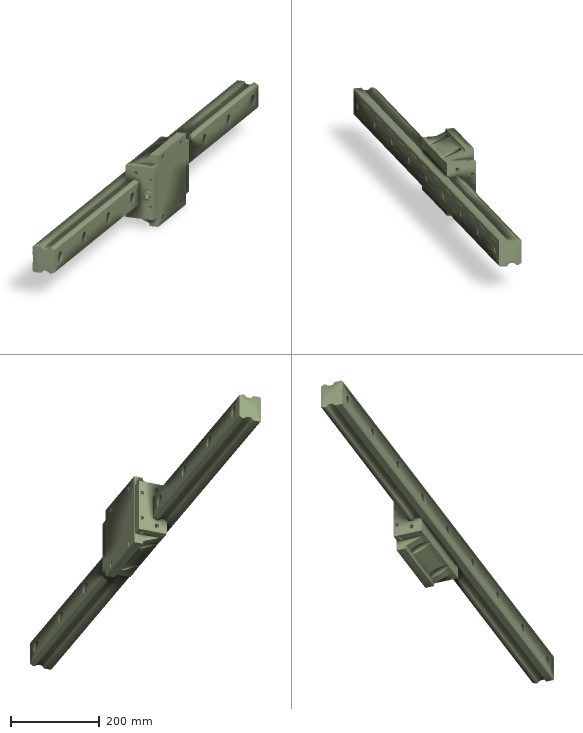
import cadquery as cq

rail_length = 1270.0
rail_width = 63.0
rail_height = 53.0
foot_height = 19.0
foot_chamfer = 2.0
neck_width = 50.0
neck_start = 24.0
neck_end = 34.0
head_width = 61.0
head_low = 41.0
head_high = 46.0
crown_width = 53.5
groove_diameter = 10.0
groove_centres = [(34.8, 31.2), (51.5, 32.4)]
relief_width = 19.0
relief_depth = 0.5
mark_z = 21.0
mark_width = 1.0
mark_depth = 0.5
hole_pitch = 150.0
hole_count = 9
rail_bore = 18.0
rail_counterbore = 26.0
rail_counterbore_depth = 22.0

carriage_y = 3.0
carriage_front = 20.0
rail_gap = 0.6
block_back = 90.0
block_length = 173.0
body_width = 122.0
slope_start = 31.0
slope_start_width = 125.5
flange_front = 69.0
flange_root_width = 157.0
flange_width = 170.0
flange_fillet = 6.0
bolt_pitch_y = 110.0
bolt_pitch_z = 142.0
bolt_bore = 13.84
spotface_diameter = 22.0
spotface_floor = 67.0
cap_width = 124.0
cap_back = 88.0
cap_length = 19.0
seal_length = 4.5
screw_x = 44.5
screw_z = 45.5
screw_bore = 5.5
screw_counterbore = 10.4
pin_x = 80.0
pin_z = 32.5
pin_bore = 4.2
pin_counterbore = 8.7
end_counterbore_depth = seal_length
lube_x = 75.0
port_bore = 4.2
port_bore_depth = 10.0
port_counterbore = 9.5
port_counterbore_depth = 4.0

nipple_base = 14.0
nipple_base_length = 7.0
nipple_root = 9.83
nipple_root_length = 8.0
nipple_stem = 5.5
nipple_stem_length = 14.0
nipple_direction = cq.Vector(0, -1, -1)

cap_inner = block_length / 2
cap_outer = cap_inner + cap_length
seal_outer = cap_outer + seal_length


def mirrored_prism(half_outline, y_start, y_end):
    """Prism along Y whose section is the given (x, z) points and their mirror image in Z."""
    mirror_half = [(x, -z) for x, z in reversed(half_outline)]
    outline = cq.Workplane("XZ", origin=(0, y_start, 0)).polyline(half_outline + mirror_half).close()
    return outline.extrude(y_start - y_end)


def x_cylinder(diameter, x_start, x_end, y, z):
    return cq.Workplane("YZ", origin=(x_start, y, z)).circle(diameter / 2).extrude(x_end - x_start)


def y_cylinder(diameter, x, z, y_start, y_end):
    return cq.Workplane("XZ", origin=(x, y_start, z)).circle(diameter / 2).extrude(y_start - y_end)


def z_cylinder(diameter, x, y, z_start, z_end):
    return cq.Workplane("XY", origin=(x, y, z_start)).circle(diameter / 2).extrude(z_end - z_start)


def head_points(gap):
    """Foot shoulder, neck and head of the rail section, grown by a clearance."""
    return [
        (foot_height + gap, rail_width / 2 + gap),
        (neck_start + gap, neck_width / 2 + gap),
        (neck_end - gap, neck_width / 2 + gap),
        (head_low - gap, head_width / 2 + gap),
        (head_high + gap, head_width / 2 + gap),
        (rail_height + gap, crown_width / 2 + gap),
    ]


def make_rail():
    y_end = rail_length / 2
    foot = [(0, rail_width / 2 - foot_chamfer), (foot_chamfer, rail_width / 2)]
    rail = mirrored_prism(foot + head_points(0), -y_end, y_end)
    for x, z in groove_centres:
        for side in (-1, 1):
            rail = rail.cut(y_cylinder(groove_diameter, x, side * z, -y_end, y_end))
    rail = rail.cut(cq.Workplane("XY").box(2 * relief_depth, rail_length, relief_width))
    mark = cq.Workplane("XY", origin=(0, 0, mark_z)).box(2 * mark_depth, rail_length, mark_width)
    rail = rail.cut(mark)
    for i in range(hole_count):
        y = (i - (hole_count - 1) / 2) * hole_pitch
        floor = rail_height - rail_counterbore_depth
        rail = rail.cut(x_cylinder(rail_bore, 0, rail_height, y, 0))
        rail = rail.cut(x_cylinder(rail_counterbore, floor, rail_height, y, 0))
    return rail


def make_tunnel():
    """Clearance around the rail that runs through the whole carriage."""
    mouth = [(0, rail_width / 2 + rail_gap)]
    return mirrored_prism(mouth + head_points(rail_gap), -rail_length / 2, rail_length / 2)


def make_block(tunnel):
    outline = [
        (carriage_front, body_width / 2),
        (slope_start, slope_start_width / 2),
        (flange_front, flange_root_width / 2),
        (flange_front, flange_width / 2),
        (block_back, flange_width / 2),
    ]
    block = mirrored_prism(outline, carriage_y - cap_inner, carriage_y + cap_inner).cut(tunnel)
    for side in (-1, 1):
        root = (flange_front, carriage_y, side * flange_root_width / 2)
        block = block.edges(cq.selectors.NearestToPointSelector(root)).fillet(flange_fillet)
    for end in (-1, 1):
        for side in (-1, 1):
            y = carriage_y + end * bolt_pitch_y / 2
            z = side * bolt_pitch_z / 2
            block = block.cut(x_cylinder(spotface_diameter, carriage_front, spotface_floor, y, z))
            block = block.cut(x_cylinder(bolt_bore, carriage_front, block_back, y, z))
    return block


def make_end_plate(inner, outer, end, tunnel):
    """Plate across one end of the carriage; end is -1 or +1 for the -Y or +Y end."""
    outline = [(carriage_front, cap_width / 2), (cap_back, cap_width / 2)]
    plate = mirrored_prism(outline, carriage_y + end * inner, carriage_y + end * outer).cut(tunnel)
    face = carriage_y + end * seal_outer
    floor = face - end * end_counterbore_depth
    bottom = carriage_y + end * cap_inner
    for side in (-1, 1):
        for x, z, bore, counterbore in (
            (screw_x, screw_z, screw_bore, screw_counterbore),
            (pin_x, pin_z, pin_bore, pin_counterbore),
        ):
            plate = plate.cut(y_cylinder(counterbore, x, side * z, face, floor))
            plate = plate.cut(y_cylinder(bore, x, side * z, face, bottom))
    return plate


def make_cap(end, tunnel):
    cap = make_end_plate(cap_inner, cap_outer, end, tunnel)
    y = carriage_y + end * (cap_inner + cap_outer) / 2
    for side in (-1, 1):
        z = side * cap_width / 2
        cap = cap.cut(z_cylinder(port_counterbore, lube_x, y, z, z - side * port_counterbore_depth))
        cap = cap.cut(z_cylinder(port_bore, lube_x, y, z, z - side * port_bore_depth))
    return cap


def make_seal(end, tunnel):
    return make_end_plate(cap_outer, seal_outer, end, tunnel)


def make_nipple():
    """Round base on the -Y seal, a root sunk into the seal and cap, and a stem at 45 degrees."""
    face = carriage_y - seal_outer
    base = y_cylinder(nipple_base, lube_x, 0, face, face - nipple_base_length)
    root = y_cylinder(nipple_root, lube_x, 0, face + nipple_root_length, face)
    bend = cq.Vector(lube_x, face - nipple_base_length / 2, 0)
    stem = cq.Solid.makeCylinder(nipple_stem / 2, nipple_stem_length, bend, nipple_direction)
    return base.union(root).union(cq.Workplane(stem))


rail = make_rail()
tunnel = make_tunnel()
block = make_block(tunnel)
nipple = make_nipple()
caps = [make_cap(end, tunnel).cut(nipple) for end in (-1, 1)]
seals = [make_seal(end, tunnel).cut(nipple) for end in (-1, 1)]

end_plates = [plate.val() for plate in caps + seals]
result = cq.Compound.makeCompound([rail.val(), block.val(), nipple.val(), *end_plates])